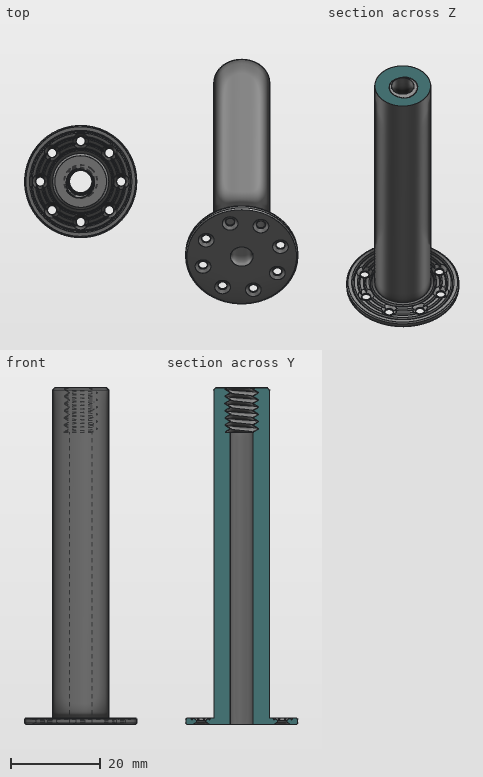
import cadquery as cq
import math

TOTAL_HEIGHT = 75.0
TUBE_DIAMETER = 12.5
TUBE_CHAMFER = 0.5
FLANGE_DIAMETER = 25.0
FLANGE_THICKNESS = 1.5
FLANGE_CHAMFER = 0.3

GROOVE_COUNT = 4
GROOVE_PITCH = 1.3
FIRST_GROOVE_RADIUS = 7.2
GROOVE_WIDTH = 0.6
GROOVE_DEPTH = 0.4
GROOVE_FLOOR_WIDTH = 0.05

HOLE_COUNT = 8
HOLE_DIAMETER = 2.0
HOLE_CIRCLE_RADIUS = 9.0
COUNTERSINK_DIAMETER = 3.5
COUNTERSINK_DEPTH = 0.55

BORE_DIAMETER = 5.0
THREAD_PITCH = 1.6
THREAD_DEPTH = 1.25
THREAD_LENGTH = 10.0
SPIRAL_SPANS = 12
THREAD_TOP_AZIMUTH = 260.0


def make_flange():
    return (
        cq.Workplane("XY")
        .circle(FLANGE_DIAMETER / 2)
        .extrude(FLANGE_THICKNESS)
        .faces("<Z or >Z")
        .edges()
        .chamfer(FLANGE_CHAMFER)
    )


def make_tube():
    return (
        cq.Workplane("XY")
        .circle(TUBE_DIAMETER / 2)
        .extrude(TOTAL_HEIGHT)
        .faces(">Z")
        .edges()
        .chamfer(TUBE_CHAMFER)
    )


def make_groove(radius):
    """Ring with sloping sides and a narrow floor, cut into the top of the flange."""
    return (
        cq.Workplane("XZ")
        .moveTo(radius - GROOVE_WIDTH / 2, FLANGE_THICKNESS)
        .lineTo(radius + GROOVE_WIDTH / 2, FLANGE_THICKNESS)
        .lineTo(radius + GROOVE_FLOOR_WIDTH / 2, FLANGE_THICKNESS - GROOVE_DEPTH)
        .lineTo(radius - GROOVE_FLOOR_WIDTH / 2, FLANGE_THICKNESS - GROOVE_DEPTH)
        .close()
        .revolve(360, (0, 0, 0), (0, 1, 0))
    )


def make_screw_hole():
    """Through hole with the same conical countersink on both faces of the flange."""
    hole_radius = HOLE_DIAMETER / 2
    countersink_radius = COUNTERSINK_DIAMETER / 2
    return (
        cq.Workplane("XZ")
        .lineTo(countersink_radius, 0)
        .lineTo(hole_radius, COUNTERSINK_DEPTH)
        .lineTo(hole_radius, FLANGE_THICKNESS - COUNTERSINK_DEPTH)
        .lineTo(countersink_radius, FLANGE_THICKNESS)
        .lineTo(0, FLANGE_THICKNESS)
        .close()
        .revolve(360, (0, 0, 0), (0, 1, 0))
    )


def make_screw_holes():
    hole = make_screw_hole().val()
    return (
        cq.Workplane("XY")
        .polarArray(HOLE_CIRCLE_RADIUS, 0, 360, HOLE_COUNT)
        .eachpoint(lambda location: hole.located(location))
    )


def spiral_point(angle):
    """Point of the thread section, which widens evenly from crest to root over half a turn."""
    radius = BORE_DIAMETER / 2 + THREAD_DEPTH * (1 - abs(angle) / math.pi)
    return cq.Vector(radius * math.cos(angle), radius * math.sin(angle), 0)


def make_spiral_edge(start_angle, end_angle):
    step = (end_angle - start_angle) / SPIRAL_SPANS
    points = [spiral_point(start_angle + index * step) for index in range(SPIRAL_SPANS + 1)]
    return cq.Edge.makeSpline(points)


def make_thread_cavity():
    """Right-handed V thread, made by twisting its horizontal section up to the top face."""
    rising_side = make_spiral_edge(-math.pi, 0)
    falling_side = make_spiral_edge(0, math.pi)
    section = cq.Wire.assembleEdges([rising_side, falling_side])
    twist = 360 * THREAD_LENGTH / THREAD_PITCH
    thread = cq.Workplane("XY").add(section).toPending().twistExtrude(THREAD_LENGTH, twist)
    return thread.rotate((0, 0, 0), (0, 0, 1), THREAD_TOP_AZIMUTH - twist).translate(
        (0, 0, TOTAL_HEIGHT - THREAD_LENGTH)
    )


def make_bore():
    """Plain bore from the bottom of the flange up to the thread."""
    return cq.Workplane("XY").circle(BORE_DIAMETER / 2).extrude(TOTAL_HEIGHT - THREAD_LENGTH)


result = make_tube().union(make_flange())
for groove_index in range(GROOVE_COUNT):
    result = result.cut(make_groove(FIRST_GROOVE_RADIUS + groove_index * GROOVE_PITCH))
result = result.cut(make_screw_holes())
result = result.cut(make_bore())
result = result.cut(make_thread_cavity())